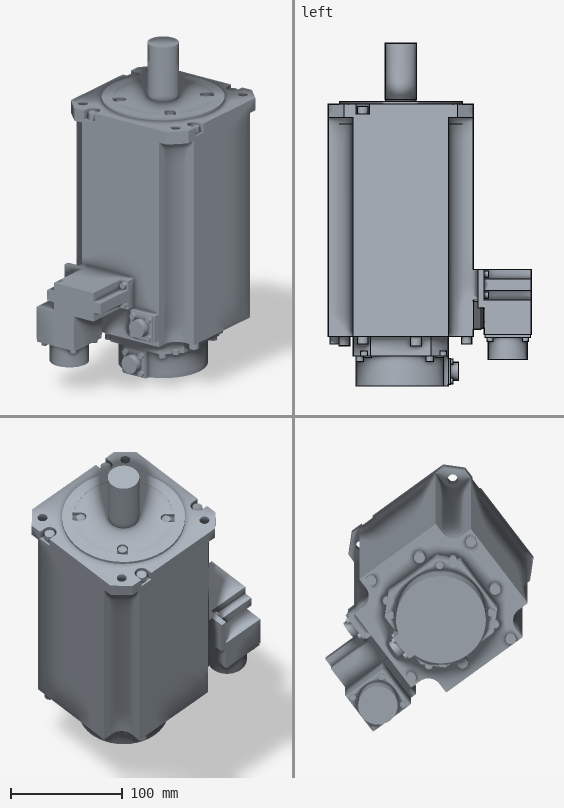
import cadquery as cq
import math


total_height = 306.5
shaft_length = 54.5
shaft_dia = 28.2
shaft_neck_dia = 27.5
shaft_neck_height = 4.3
pilot_dia = 110.0
pilot_height = 2.5
cover_dia = 90.0
cover_recess = 0.3
square = 130.0
half = square / 2
flange_thickness = 12.0
flange_chamfer = 14.0
mount_hole_dia = 9.0
mount_hole_offset = 51.2

tie_bolt_offset = 34.0
tie_bolt_inset = 6.0
tie_bolt_radius = 4.5
tie_slot_radius = 6.0
tie_slot_depth = 8.5
tie_head_drop = 1.8
tie_bolt_overhang = 6.7

cover_screw_offset = 27.0
cover_screw_radius = 4.0
cover_slot_radius = 5.0
cover_slot_end = 45.7
cover_slot_depth = 3.7
cover_head_drop = 1.5

body_bottom = -207.8
groove_half_width = 42.5
groove_radius = 12.3
top_groove_radius = 10.7
top_groove_height = 5.5

plate_height = 17.5
plate_half = groove_half_width
plate_chamfer = 15.5
plate_bottom = body_bottom - plate_height
plate_screw_long = 37.7
plate_screw_short = 32.5
plate_screw_radius = 3.5
plate_screw_height = 4.5
plate_lug_long = 35.0
plate_lug_short = 29.5
plate_lug_height = 1.0
rear_bolt_ring = 52.0
rear_bolt_radius = 5.0
rear_bolt_height = 8.3
rear_bolt_angles = (15, 105, 195)

encoder_radius = 40.0
encoder_bottom = shaft_length - total_height
encoder_pad_half = 12.0
encoder_pad_front = plate_half
encoder_screw_long = 36.5
encoder_screw_short = 25.7
encoder_screw_radius = 3.5
encoder_screw_height = 5.0

socket_square = 23.3
socket_thickness = 1.8
socket_dia = 16.2
socket_length = 7.5
socket_screw_offset = 8.5
socket_screw_radius = 2.6
socket_screw_height = 2.5
encoder_socket_z = encoder_bottom + 13.2
brake_x = 29.5
brake_z = body_bottom + 19.0
brake_base_width = 27.0
brake_base_height = 25.0
brake_base_depth = 6.7

power_front = 116.8
power_left = -55.0
power_right = 15.5
power_top = body_bottom + 60.0
power_shelf = body_bottom + 32.8
power_bottom = body_bottom + 1.8
power_lower_right = -13.5
gasket_left = -groove_half_width
gasket_front = 69.0
lid_front = 74.5
lid_bottom = body_bottom + 25.7
recess_right = -43.2
pocket_left_end = -35.5
pocket_right_start = 8.0
pocket_height = 8.5
power_screw_left = -39.2
power_screw_right = 12.0
power_screw_edge = 4.3
power_screw_radius = 2.8
power_screw_height = 4.0

outlet_x = -34.0
outlet_y = -95.5
outlet_plate_half = 20.5
outlet_plate_thickness = 2.8
outlet_dia = 35.2
outlet_bottom = body_bottom - 20.5
outlet_screw_offset = 16.0
outlet_screw_radius = 2.8
outlet_screw_height = 3.5


def box(x0, x1, y0, y1, z0, z1):
    """Box between two opposite corners."""
    return cq.Workplane("XY").box(x1 - x0, y1 - y0, z1 - z0, centered=False).translate((x0, y0, z0))


def post(x, y, radius, z0, z1):
    """Upright cylinder from z0 to z1."""
    return cq.Workplane("XY", origin=(x, y, z0)).circle(radius).extrude(z1 - z0)


def stud(x, z, radius, back, front):
    """Cylinder along Y from y = -back out to y = -front."""
    return cq.Workplane("XZ", origin=(x, -back, z)).circle(radius).extrude(front - back)


def octagon(half_width, chamfer, z0, z1):
    """Square plate with its four upright edges chamfered."""
    return box(-half_width, half_width, -half_width, half_width, z0, z1).edges("|Z").chamfer(chamfer)


def radial_slot(distance, end, radius, z0, z1):
    """Slot along X with a round inner end centred at the given distance and a flat outer end."""
    return post(distance, 0, radius, z0, z1).union(box(distance, end, -radius, radius, z0, z1))


def turned(shape, angle):
    """Shape turned about the motor axis."""
    return shape.rotate((0, 0, 0), (0, 0, 1), angle)


def add_quarter_turns(part, shape):
    """Join four copies of a shape, turned by 90 degrees from one to the next."""
    for quarter in range(4):
        part = part.union(turned(shape, 90 * quarter))
    return part


def cut_quarter_turns(part, shape):
    """Cut four copies of a shape, turned by 90 degrees from one to the next."""
    for quarter in range(4):
        part = part.cut(turned(shape, 90 * quarter))
    return part


def corner_groove(radius, z0, z1):
    """Cutter for one body corner, with its inner edge rounded."""
    low, high = groove_half_width, half + radius
    return box(low, high, low, high, z0, z1).edges("|Z").edges("<X").edges("<Y").fillet(radius)


def make_flange():
    flange = octagon(half, flange_chamfer, -flange_thickness, 0)
    flange = flange.union(post(0, 0, pilot_dia / 2, 0, pilot_height))
    flange = flange.cut(post(0, 0, cover_dia / 2, pilot_height - cover_recess, pilot_height))
    hole = post(mount_hole_offset, mount_hole_offset, mount_hole_dia / 2, -flange_thickness, 0)
    return cut_quarter_turns(flange, hole)


def make_body():
    body = box(-half, half, -half, half, body_bottom, -flange_thickness)
    groove_top = -flange_thickness - top_groove_height
    body = cut_quarter_turns(body, corner_groove(groove_radius, body_bottom, groove_top))
    return cut_quarter_turns(body, corner_groove(top_groove_radius, groove_top, -flange_thickness))


def add_tie_bolts(part):
    distance = half - tie_bolt_inset
    slot = radial_slot(distance, half, tie_slot_radius, -tie_slot_depth, 0)
    bolt = post(distance, 0, tie_bolt_radius, body_bottom - tie_bolt_overhang, -tie_head_drop)
    part = cut_quarter_turns(part, slot.translate((0, -tie_bolt_offset, 0)))
    return add_quarter_turns(part, bolt.translate((0, -tie_bolt_offset, 0)))


def add_cover_screws(part):
    distance = cover_screw_offset * math.sqrt(2)
    floor = pilot_height - cover_slot_depth
    slot = radial_slot(distance, cover_slot_end, cover_slot_radius, floor, pilot_height)
    head = post(distance, 0, cover_screw_radius, floor, pilot_height - cover_head_drop)
    part = cut_quarter_turns(part, turned(slot, 45))
    return add_quarter_turns(part, turned(head, 45))


def add_shaft(part):
    part = part.union(post(0, 0, shaft_neck_dia / 2, 0, shaft_neck_height))
    return part.union(post(0, 0, shaft_dia / 2, shaft_neck_height, shaft_length))


def add_rear_plate(part):
    part = part.union(octagon(plate_half, plate_chamfer, plate_bottom, body_bottom))
    head = post(plate_screw_long, -plate_screw_short, plate_screw_radius,
                plate_bottom, plate_bottom + plate_screw_height)
    lug = post(plate_lug_long, -plate_lug_short, plate_screw_radius,
               plate_bottom - plate_lug_height, plate_bottom)
    part = add_quarter_turns(part, head)
    part = add_quarter_turns(part, lug)
    bolt = post(rear_bolt_ring, 0, rear_bolt_radius, body_bottom - rear_bolt_height, body_bottom)
    for angle in rear_bolt_angles:
        part = part.union(turned(bolt, angle))
    return part


def add_encoder(part):
    part = part.union(post(0, 0, encoder_radius, encoder_bottom, plate_bottom))
    pad = box(-encoder_pad_half, encoder_pad_half, -encoder_pad_front, 0, encoder_bottom, plate_bottom)
    part = part.union(pad)
    head = post(encoder_screw_short, -encoder_screw_long, encoder_screw_radius,
                plate_bottom - encoder_screw_height, plate_bottom)
    return add_quarter_turns(part, head)


def socket(x, z, back):
    """Square plate with a round socket and four corner screws, standing on y = -back."""
    side = socket_square / 2
    front = back + socket_thickness
    unit = box(x - side, x + side, -front, -back, z - side, z + side)
    unit = unit.union(stud(x, z, socket_dia / 2, back, front + socket_length))
    for sx in (-1, 1):
        for sz in (-1, 1):
            screw_x = x + sx * socket_screw_offset
            screw_z = z + sz * socket_screw_offset
            unit = unit.union(stud(screw_x, screw_z, socket_screw_radius, back, front + socket_screw_height))
    return unit


def add_sockets(part):
    part = part.union(socket(0, encoder_socket_z, encoder_pad_front))
    base_front = half + brake_base_depth
    x0 = brake_x - brake_base_width / 2
    z0 = brake_z - brake_base_height / 2
    part = part.union(box(x0, x0 + brake_base_width, -base_front, -half, z0, z0 + brake_base_height))
    return part.union(socket(brake_x, brake_z, base_front))


def make_power_connector():
    gasket = box(gasket_left, power_right, -gasket_front, -half, power_shelf, power_top)
    upper = box(power_left, power_right, -power_front, -gasket_front, power_shelf, power_top)
    step = box(power_left, power_lower_right, -lid_front, -gasket_front, lid_bottom, power_shelf)
    lower = box(power_left, power_lower_right, -power_front, -lid_front, power_bottom, power_shelf)
    housing = gasket.union(upper).union(step).union(lower)

    housing = housing.cut(box(power_left, recess_right, -power_front, -lid_front, power_shelf, power_top))
    low_screw_z = power_shelf + power_screw_edge
    high_screw_z = power_top - power_screw_edge
    for z0 in (power_shelf, power_top - pocket_height):
        z1 = z0 + pocket_height
        housing = housing.cut(box(recess_right, pocket_left_end, -power_front, -lid_front, z0, z1))
        housing = housing.cut(box(pocket_right_start, power_right, -power_front, -lid_front, z0, z1))
    for x in (power_screw_left, power_screw_right):
        for z in (low_screw_z, high_screw_z):
            screw = stud(x, z, power_screw_radius, gasket_front, lid_front + power_screw_height)
            housing = housing.union(screw)
    return housing


def make_outlet():
    plate_top = power_bottom
    plate_base = plate_top - outlet_plate_thickness
    outlet = box(outlet_x - outlet_plate_half, outlet_x + outlet_plate_half,
                 outlet_y - outlet_plate_half, outlet_y + outlet_plate_half, plate_base, plate_top)
    outlet = outlet.union(post(outlet_x, outlet_y, outlet_dia / 2, outlet_bottom, plate_top))
    for sx in (-1, 1):
        for sy in (-1, 1):
            x = outlet_x + sx * outlet_screw_offset
            y = outlet_y + sy * outlet_screw_offset
            outlet = outlet.union(post(x, y, outlet_screw_radius, plate_base - outlet_screw_height, plate_top))
    return outlet


motor = make_flange().union(make_body())
motor = add_tie_bolts(motor)
motor = add_cover_screws(motor)
motor = add_shaft(motor)
motor = add_rear_plate(motor)
motor = add_encoder(motor)
motor = add_sockets(motor)
motor = motor.union(make_power_connector())
result = motor.union(make_outlet())